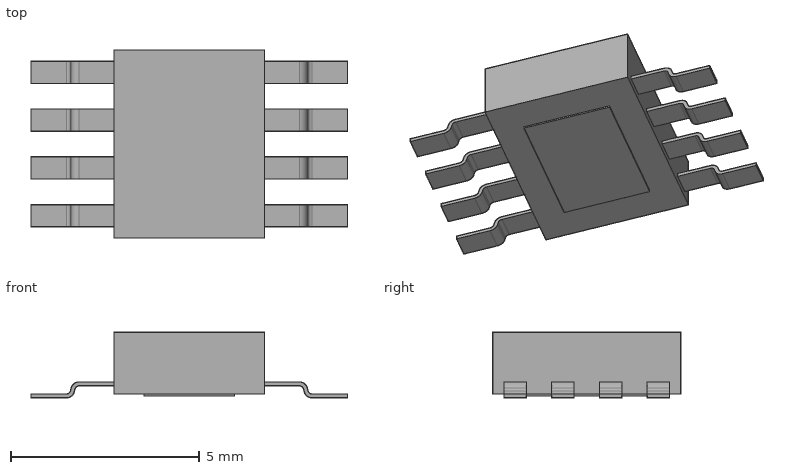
import cadquery as cq
import math

overall_length = 8.4
overall_height = 1.75

housing_length = 4.0
housing_width = 5.0
housing_standoff = 0.1

pad_length = 2.4
pad_width = 3.3
pad_thickness = 0.05

leads_per_side = 4
lead_pitch = 1.27
lead_width = 0.6
lead_thickness = 0.11
lead_rise = 0.32
foot_length = 0.94
bend_span = 0.34
bend_inner_radius = 0.11
bend_outer_radius = bend_inner_radius + lead_thickness


def make_housing():
    """Plain rectangular block."""
    return (
        cq.Workplane("XY")
        .workplane(offset=housing_standoff)
        .rect(housing_length, housing_width)
        .extrude(overall_height - housing_standoff)
    )


def make_pad():
    """Thin plate whose top lies against the underside of the housing."""
    return (
        cq.Workplane("XY")
        .workplane(offset=housing_standoff)
        .rect(pad_length, pad_width)
        .extrude(-pad_thickness)
    )


def bend_angle():
    """Angle each bend turns through so that one straight web is tangent to both bends."""
    radius_sum = bend_inner_radius + bend_outer_radius
    centre_drop = radius_sum - lead_rise
    web_length = math.sqrt(bend_span**2 + centre_drop**2 - radius_sum**2)
    return math.atan2(bend_span, centre_drop) - math.atan2(web_length, radius_sum)


def make_lead(y_centre):
    """Gull-wing lead on the -X side, from its foot tip to the housing wall."""
    tip_x = -overall_length / 2
    wall_x = -housing_length / 2
    lower_bend_x = tip_x + foot_length
    lower_bend_z = bend_outer_radius
    upper_bend_x = lower_bend_x + bend_span
    upper_bend_z = lead_rise - bend_inner_radius
    turn = bend_angle()

    def lower_bend(radius, angle):
        """Point on the lower bend, with the angle measured from straight down."""
        return (lower_bend_x + radius * math.sin(angle), lower_bend_z - radius * math.cos(angle))

    def upper_bend(radius, angle):
        """Point on the upper bend, with the angle measured from straight up."""
        return (upper_bend_x - radius * math.sin(angle), upper_bend_z + radius * math.cos(angle))

    return (
        cq.Workplane("XZ", origin=(0, y_centre, 0))
        .moveTo(tip_x, 0)
        .lineTo(*lower_bend(bend_outer_radius, 0))
        .threePointArc(lower_bend(bend_outer_radius, turn / 2), lower_bend(bend_outer_radius, turn))
        .lineTo(*upper_bend(bend_inner_radius, turn))
        .threePointArc(upper_bend(bend_inner_radius, turn / 2), upper_bend(bend_inner_radius, 0))
        .lineTo(wall_x, lead_rise)
        .lineTo(wall_x, lead_rise + lead_thickness)
        .lineTo(*upper_bend(bend_outer_radius, 0))
        .threePointArc(upper_bend(bend_outer_radius, turn / 2), upper_bend(bend_outer_radius, turn))
        .lineTo(*lower_bend(bend_inner_radius, turn))
        .threePointArc(lower_bend(bend_inner_radius, turn / 2), lower_bend(bend_inner_radius, 0))
        .lineTo(tip_x, lead_thickness)
        .close()
        .extrude(lead_width / 2, both=True)
    )


def make_leads():
    """Two rows of leads, the +X row being the -X row turned half a turn about Z."""
    leads = []
    for index in range(leads_per_side):
        y_centre = (index - (leads_per_side - 1) / 2) * lead_pitch
        lead = make_lead(y_centre)
        leads.append(lead.val())
        leads.append(lead.rotate((0, 0, 0), (0, 0, 1), 180).val())
    return leads


housing = make_housing()
pad = make_pad()
leads = make_leads()

result = cq.Compound.makeCompound([housing.val(), pad.val(), *leads])